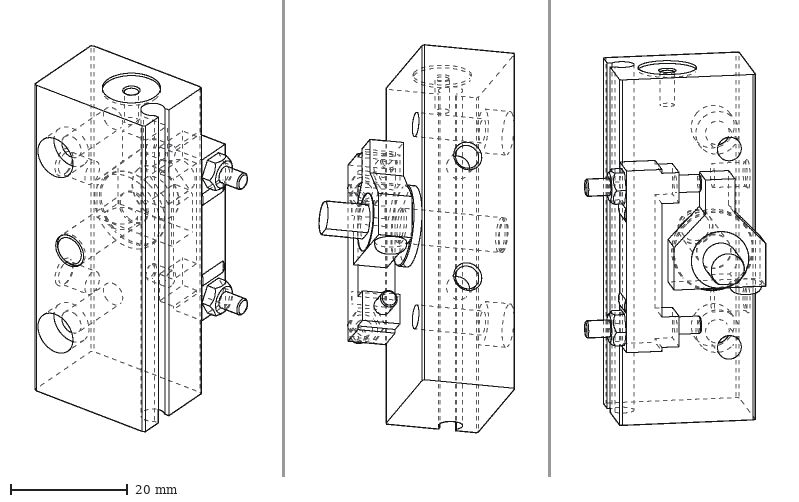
import cadquery as cq
import math


BLOCK_WIDTH = 23.65
BLOCK_DEPTH = 16.5
BLOCK_LENGTH = 61.0
EDGE_CHAMFER_X = 0.5
EDGE_CHAMFER_Y = 0.25

MOUNT_X = 4.6
MOUNT_Z = 17.5
MOUNT_DIAMETER = 4.15
COUNTERBORE_DIAMETER = 7.5
COUNTERBORE_DEPTH = 4.6

PORT_Y = 8.5
PORT_Z = 11.0
PORT_DIAMETER = 4.15
PORT_MOUTH_DIAMETER = 5.0
PORT_DEPTH = 6.1

RECESS_X = 14.1
RECESS_Y = 9.0
RECESS_DIAMETER = 10.0
RECESS_DEPTH = 0.5
TOP_HOLE_DIAMETER = 2.45
TOP_HOLE_MOUTH_DIAMETER = 3.0
TOP_HOLE_DEPTH = 6.1

GROOVE_X = 21.35
GROOVE_Y = 5.5
GROOVE_DIAMETER = 4.15
GROOVE_MOUTH = 3.0

SHAFT_X = 7.6
SHAFT_DIAMETER = 6.0
SHAFT_END_Y = 32.0
SHAFT_FRONT_CHAMFER = 0.5
SHAFT_TIP_CHAMFER_LENGTH = 0.5
SHAFT_TIP_CHAMFER_DEPTH = 0.1
SHAFT_FLAT_OFFSET = 2.5
COLLAR_DIAMETER = 14.0
COLLAR_HEIGHT = 1.6
COLLAR_CHAMFER = 0.2

LEVER_GAP = 0.4
LEVER_THICKNESS = 6.0
LEVER_HALF_WIDTH = 8.0
LEVER_ARM_HALF_WIDTH = 2.55
LEVER_BOTTOM_Z = -5.0
LEVER_SHOULDER_Z = 2.5
LEVER_ARM_ROOT_Z = 8.1
LEVER_TOP_Z = 14.2
HUB_DIAMETER = 10.0
HUB_HEIGHT = 0.1
LEVER_SCREW_OFFSET = 5.0
LEVER_SCREW_HEAD_HEIGHT = 1.65
LEVER_SCREW_HEAD_FILLET = 1.2

SCREW_HEAD_DIAMETER = 5.5

BRACKET_HEIGHT = 6.65
BRACKET_HALF_LENGTH = 16.05
BRACKET_BASE_X = 17.5
ARM_TIP_X = 14.5
ARM_INNER_Z = 10.0
ARM_OUTER_Z = 15.4
BRACKET_SCREW_X = 21.15
BRACKET_SCREW_Z = 8.05
BRACKET_SCREW_HEAD_TOP = 6.0

STOP_Y = 19.6
STOP_Z = 12.5
STOP_DIAMETER = 3.0
STOP_CHAMFER = 0.25
STOP_END_X = 30.15
NUT_ACROSS_FLATS = 5.5
NUT_THICKNESS = 2.4
NUT_FACE_DIAMETER = 4.9

collar_top_y = BLOCK_DEPTH + COLLAR_HEIGHT
lever_front_y = collar_top_y + LEVER_GAP
lever_back_y = lever_front_y + LEVER_THICKNESS
stop_start_x = SHAFT_X + LEVER_ARM_HALF_WIDTH

X_AXIS = cq.Vector(1, 0, 0)
Y_AXIS = cq.Vector(0, 1, 0)
Z_AXIS = cq.Vector(0, 0, 1)


def cylinder(start, direction, diameter, length):
    """Cylinder from the centre of its first end along a direction."""
    return cq.Workplane(cq.Solid.makeCylinder(diameter / 2, length, cq.Vector(*start), direction))


def cone(start, direction, start_diameter, end_diameter, length):
    """Truncated cone from the centre of its first end along a direction."""
    return cq.Workplane(
        cq.Solid.makeCone(start_diameter / 2, end_diameter / 2, length, cq.Vector(*start), direction)
    )


def box(x_range, y_range, z_range):
    """Box between two limits on each axis."""
    lows, highs = zip(x_range, y_range, z_range)
    sizes = [high - low for low, high in zip(lows, highs)]
    return cq.Workplane().box(*sizes, centered=False).translate(lows)


def chamfered_hole(start, direction, diameter, mouth_diameter, depth):
    """Blind hole with a 45 degree countersunk mouth."""
    mouth = cone(start, direction, mouth_diameter, diameter, (mouth_diameter - diameter) / 2)
    return cylinder(start, direction, diameter, depth).union(mouth)


def make_block():
    half = BLOCK_LENGTH / 2
    outline = [
        (EDGE_CHAMFER_X, 0),
        (BLOCK_WIDTH - EDGE_CHAMFER_X, 0),
        (BLOCK_WIDTH, EDGE_CHAMFER_Y),
        (BLOCK_WIDTH, BLOCK_DEPTH - EDGE_CHAMFER_Y),
        (BLOCK_WIDTH - EDGE_CHAMFER_X, BLOCK_DEPTH),
        (EDGE_CHAMFER_X, BLOCK_DEPTH),
        (0, BLOCK_DEPTH - EDGE_CHAMFER_Y),
        (0, EDGE_CHAMFER_Y),
    ]
    block = cq.Workplane("XY").polyline(outline).close().extrude(half, both=True)

    for side in (-1, 1):
        mount_start = (MOUNT_X, 0, side * MOUNT_Z)
        block = block.cut(cylinder(mount_start, Y_AXIS, MOUNT_DIAMETER, BLOCK_DEPTH))
        block = block.cut(cylinder(mount_start, Y_AXIS, COUNTERBORE_DIAMETER, COUNTERBORE_DEPTH))
        port_start = (0, PORT_Y, side * PORT_Z)
        block = block.cut(
            chamfered_hole(port_start, X_AXIS, PORT_DIAMETER, PORT_MOUTH_DIAMETER, PORT_DEPTH)
        )

    recess_floor = (RECESS_X, RECESS_Y, half - RECESS_DEPTH)
    block = block.cut(cylinder(recess_floor, Z_AXIS, RECESS_DIAMETER, RECESS_DEPTH))
    block = block.cut(
        chamfered_hole(recess_floor, -Z_AXIS, TOP_HOLE_DIAMETER, TOP_HOLE_MOUTH_DIAMETER, TOP_HOLE_DEPTH)
    )

    groove = cylinder((GROOVE_X, GROOVE_Y, -half), Z_AXIS, GROOVE_DIAMETER, BLOCK_LENGTH)
    groove_mouth = box(
        (GROOVE_X, BLOCK_WIDTH),
        (GROOVE_Y - GROOVE_MOUTH / 2, GROOVE_Y + GROOVE_MOUTH / 2),
        (-half, half),
    )
    return block.cut(groove).cut(groove_mouth)


def make_collar():
    collar = cylinder((SHAFT_X, BLOCK_DEPTH, 0), Y_AXIS, COLLAR_DIAMETER, COLLAR_HEIGHT)
    return collar.faces(">Y").chamfer(COLLAR_CHAMFER)


def make_bracket():
    back_y = BLOCK_DEPTH + BRACKET_HEIGHT
    y_range = (BLOCK_DEPTH, back_y)
    bracket = box((BRACKET_BASE_X, BLOCK_WIDTH), y_range, (-BRACKET_HALF_LENGTH, BRACKET_HALF_LENGTH))
    for side in (-1, 1):
        arm_z_range = sorted((side * ARM_INNER_Z, side * ARM_OUTER_Z))
        bracket = bracket.union(box((ARM_TIP_X, BLOCK_WIDTH), y_range, arm_z_range))
        head_start = (BRACKET_SCREW_X, BLOCK_DEPTH, side * BRACKET_SCREW_Z)
        bracket = bracket.union(cylinder(head_start, Y_AXIS, SCREW_HEAD_DIAMETER, BRACKET_SCREW_HEAD_TOP))
    return bracket


def make_nut(z):
    """Hexagonal lock nut with two flats facing up and down and a chamfered outer face."""
    corner_diameter = NUT_ACROSS_FLATS / math.cos(math.pi / 6)
    hexagon = (
        cq.Workplane("YZ", origin=(BLOCK_WIDTH, STOP_Y, z))
        .polygon(6, corner_diameter)
        .extrude(NUT_THICKNESS)
    )
    chamfer = (corner_diameter - NUT_FACE_DIAMETER) / 2
    envelope = cylinder((BLOCK_WIDTH, STOP_Y, z), X_AXIS, corner_diameter, NUT_THICKNESS)
    return hexagon.intersect(envelope.faces(">X").chamfer(chamfer))


def make_stop_screw(z):
    start = (stop_start_x, STOP_Y, z)
    screw = cylinder(start, X_AXIS, STOP_DIAMETER, STOP_END_X - stop_start_x)
    return screw.faces("<X or >X").chamfer(STOP_CHAMFER)


def make_housing():
    housing = make_block().union(make_collar()).union(make_bracket())
    for side in (-1, 1):
        housing = housing.union(make_stop_screw(side * STOP_Z)).union(make_nut(side * STOP_Z))
    return housing.cut(cylinder((SHAFT_X, 0, 0), Y_AXIS, SHAFT_DIAMETER, collar_top_y))


def make_shaft():
    radius = SHAFT_DIAMETER / 2
    half_profile = [
        (0, 0),
        (radius - SHAFT_FRONT_CHAMFER, 0),
        (radius, SHAFT_FRONT_CHAMFER),
        (radius, SHAFT_END_Y - SHAFT_TIP_CHAMFER_LENGTH),
        (radius - SHAFT_TIP_CHAMFER_DEPTH, SHAFT_END_Y),
        (0, SHAFT_END_Y),
    ]
    shaft = cq.Workplane("XY").polyline(half_profile).close().revolve(360, (0, 0), (0, 1))
    below_flat = box(
        (-radius, radius),
        (lever_back_y, SHAFT_END_Y),
        (-radius, -SHAFT_FLAT_OFFSET),
    )
    return shaft.cut(below_flat).translate((SHAFT_X, 0, 0))


def make_lever():
    right_side = [
        (LEVER_HALF_WIDTH, LEVER_BOTTOM_Z),
        (LEVER_HALF_WIDTH, LEVER_SHOULDER_Z),
        (LEVER_ARM_HALF_WIDTH, LEVER_ARM_ROOT_Z),
        (LEVER_ARM_HALF_WIDTH, LEVER_TOP_Z),
    ]
    left_side = [(-x, z) for x, z in reversed(right_side)]
    lever = (
        cq.Workplane("XZ", origin=(SHAFT_X, lever_back_y, 0))
        .polyline(right_side + left_side)
        .close()
        .extrude(LEVER_THICKNESS)
    )
    hub = cylinder((SHAFT_X, lever_back_y, 0), Y_AXIS, HUB_DIAMETER, HUB_HEIGHT)

    head_start = (SHAFT_X - LEVER_SCREW_OFFSET, lever_front_y + LEVER_THICKNESS / 2, LEVER_BOTTOM_Z)
    head = cylinder(head_start, -Z_AXIS, SCREW_HEAD_DIAMETER, LEVER_SCREW_HEAD_HEIGHT)
    head = head.faces("<Z").edges().fillet(LEVER_SCREW_HEAD_FILLET)
    return lever.union(hub).union(head)


housing = make_housing()
rotor = make_shaft().union(make_lever())

result = cq.Compound.makeCompound([housing.val(), rotor.val()])